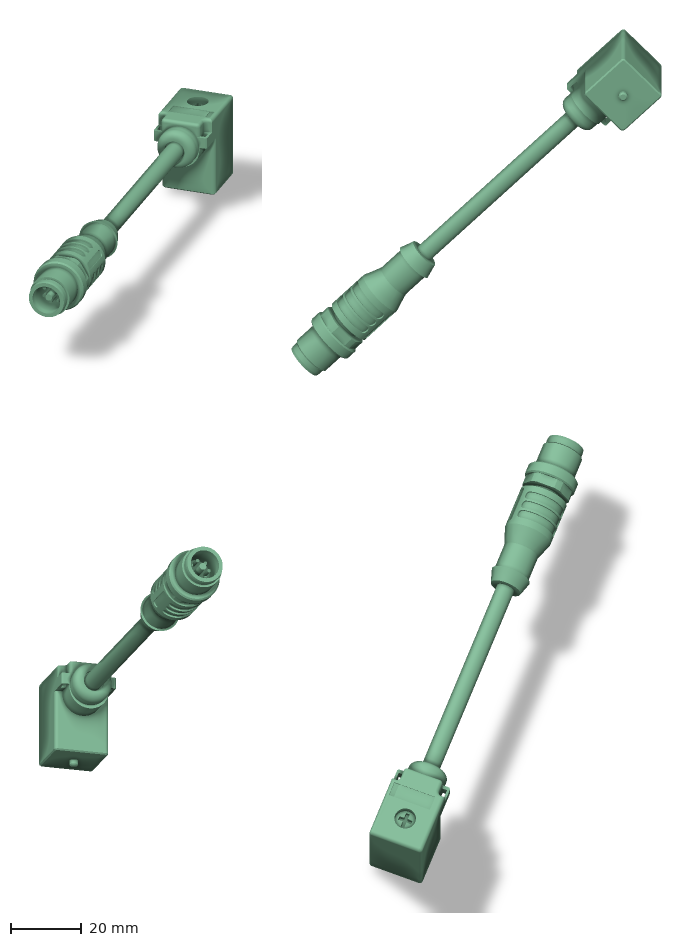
import cadquery as cq
import math


OVERLAP = 1.0

TOTAL_LENGTH = 133.0
HOUSING_DEPTH = 15.8
HOOD_DEPTH = 22.6
RELIEF_END = 27.2
TAIL_START = 86.0
FLARE_END = 90.0
NECK_END = 98.0
GRIP_START = 103.2
GRIP_END = 115.6
HEX_START = 117.0
RING_START = 119.8
RING_END = 123.3
BARREL_END = 130.2
GROOVE_END = 130.6
LIP_END = 132.2

WIDTH = 16.0
HALF_WIDTH = WIDTH / 2
HOOD_TOP = 7.1
BLOCK_BOTTOM = -17.5
BACK_FILLET = 0.9
FRONT_FILLET = 1.1
BOTTOM_CHAMFER = 0.4
TOP_FILLET = 0.95
HOOD_FRONT_CHAMFER = 0.4

NOTCH_START = 18.2
NOTCH_FLOOR = 3.2
NOTCH_INNER_X = 5.8
NOTCH_CORNER = 1.1
OUTLET_FILLET = 1.0
WINDOW_START = 19.1
WINDOW_END = 21.6
WINDOW_OUTER_X = 7.3

RELIEF_DIAMETER = 11.5
COLLAR_DROP = 0.9
RELIEF_FILLET = 2.1
RELIEF_BORE = 6.0
RELIEF_BORE_DEPTH = 1.0
CABLE_DIAMETER = 5.2

SCREW_Y = -7.85
SCREW_WELL_DIAMETER = 6.1
SCREW_WELL_DEPTH = 2.0
DOME_DIAMETER = 5.94
DOME_RISE = 0.9
CROSS_WIDTH = 1.1
CROSS_LENGTH_X = 3.9
CROSS_LENGTH_Y = 4.4
CROSS_DEPTH_BELOW_RIM = 0.8
SCREW_TIP_DIAMETER = 2.5
SCREW_TIP_END = -19.15
SCREW_TIP_CHAMFER = 0.4

LABEL_LEFT = -5.5
LABEL_RIGHT = 5.4
LABEL_END = 6.85
LABEL_START_Y = -12.85
LABEL_END_Y = -17.0
LABEL_DEPTH = 0.2
LABEL_END_DEPTH = 0.4

TAIL_DIAMETER = 9.0
FLARE_DIAMETER = 11.5
NECK_DIAMETER = 10.2
GRIP_DIAMETER = 13.8
WAIST_DIAMETER = 8.7
HEX_ACROSS_FLATS = 13.0
HEX_DIAMETER = 14.0
RING_DIAMETER = 15.0
RING_CHAMFER = 0.4
BARREL_DIAMETER = 11.8
GROOVE_DIAMETER = 10.2
LIP_DIAMETER = 10.8
TIP_DIAMETER = 10.5

SLOT_COUNT = 3
SLOT_WIDTH = 2.4
SLOT_PITCH = 3.0
SLOT_MIDDLE = 109.5
SLOT_DEPTH = 0.5
SLOT_FROM_ANGLE = 51.5
SLOT_TO_ANGLE = 186.6
PANEL_ANGLE = 29.0
PANEL_WIDTH = 2.1
PANEL_START = 104.4
PANEL_END = 114.8
PANEL_CORNER = 0.8
PANEL_DEPTH = 0.4

SOCKET_DIAMETER = 8.3
SOCKET_DEPTH = 9.0
CENTRE_PIN_DIAMETER = 2.0
CENTRE_PIN_SETBACK = 1.9
OUTER_PIN_DIAMETER = 1.0
OUTER_PIN_CIRCLE = 5.5
OUTER_PIN_COUNT = 7
OUTER_PIN_SETBACK = 5.0


def rod(diameter, start, end):
    """Cylinder on the cable axis between two distances from the housing back."""
    return cq.Workplane("XZ", origin=(0, -start, 0)).circle(diameter / 2).extrude(end - start)


def block(x0, x1, y0, y1, z0, z1):
    """Axis-aligned box between two corners."""
    corner = cq.Vector(min(x0, x1), min(y0, y1), min(z0, z1))
    return cq.Workplane(cq.Solid.makeBox(abs(x1 - x0), abs(y1 - y0), abs(z1 - z0), corner))


def make_lower_block():
    body = block(-HALF_WIDTH, HALF_WIDTH, -HOUSING_DEPTH, 0, BLOCK_BOTTOM, 0)
    body = body.edges("|Z and >Y").fillet(BACK_FILLET)
    body = body.edges("|Z and <Y").fillet(FRONT_FILLET)
    return body.faces("<Z").edges().chamfer(BOTTOM_CHAMFER)


def make_hood_notch(side):
    """Corner cut beside the cable outlet, open upward and to the front."""
    outer = side * (HALF_WIDTH + OVERLAP)
    inner = side * NOTCH_INNER_X
    shelf = block(outer, inner, -NOTCH_START, -HOOD_DEPTH - OVERLAP, NOTCH_FLOOR, HOOD_TOP + OVERLAP)
    inner_edge = ">X" if side < 0 else "<X"
    return shelf.edges("|Z and >Y").edges(inner_edge).fillet(NOTCH_CORNER)


def make_hood():
    hood = block(-HALF_WIDTH, HALF_WIDTH, -HOOD_DEPTH, 0, 0, HOOD_TOP)
    hood = hood.edges("|Z and >Y").fillet(BACK_FILLET)
    hood = hood.edges("|Z and <Y").chamfer(HOOD_FRONT_CHAMFER)
    for side in (-1, 1):
        hood = hood.cut(make_hood_notch(side))
    outlet_corners = cq.selectors.BoxSelector(
        (-NOTCH_INNER_X - OVERLAP, -HOOD_DEPTH - OVERLAP, NOTCH_FLOOR),
        (NOTCH_INNER_X + OVERLAP, -HOOD_DEPTH + OVERLAP, HOOD_TOP),
    )
    hood = hood.edges("|Z").edges(outlet_corners).fillet(OUTLET_FILLET)
    hood = hood.faces(">Z").edges().fillet(TOP_FILLET)
    for side in (-1, 1):
        window_sides = (side * NOTCH_INNER_X, side * WINDOW_OUTER_X)
        window = block(*window_sides, -WINDOW_START, -WINDOW_END, -OVERLAP, HOOD_TOP)
        hood = hood.cut(window)
    return hood


def make_collar():
    """U-shaped collar below the hood that carries the strain relief."""
    start = HOUSING_DEPTH / 2
    half_width = NOTCH_INNER_X
    lowest = (0, -COLLAR_DROP - half_width)
    outline = cq.Workplane("XZ", origin=(0, -start, 0)).moveTo(-half_width, 0)
    outline = outline.lineTo(-half_width, -COLLAR_DROP)
    outline = outline.threePointArc(lowest, (half_width, -COLLAR_DROP))
    return outline.lineTo(half_width, 0).close().extrude(HOOD_DEPTH - start)


def make_strain_relief():
    relief = rod(RELIEF_DIAMETER, HOOD_DEPTH, RELIEF_END)
    relief = relief.faces("<Y").edges().fillet(RELIEF_FILLET)
    return relief.cut(rod(RELIEF_BORE, RELIEF_END - RELIEF_BORE_DEPTH, RELIEF_END))


def add_screw(body):
    """Domed cross-slot head in a well on top, threaded tip below the block."""
    well_floor = HOOD_TOP - SCREW_WELL_DEPTH
    well = cq.Workplane("XY", origin=(0, SCREW_Y, well_floor)).circle(SCREW_WELL_DIAMETER / 2)
    body = body.cut(well.extrude(SCREW_WELL_DEPTH))

    rim = DOME_DIAMETER / 2
    sphere_radius = (rim**2 + DOME_RISE**2) / (2 * DOME_RISE)
    sphere_centre = cq.Vector(0, SCREW_Y, well_floor + DOME_RISE - sphere_radius)
    head = cq.Workplane("XY", origin=(0, SCREW_Y, well_floor - OVERLAP)).circle(rim)
    head = head.extrude(DOME_RISE + OVERLAP)
    head = head.intersect(cq.Workplane(cq.Solid.makeSphere(sphere_radius, sphere_centre, angleDegrees1=-90)))
    body = body.union(head)

    slot_plane = cq.Workplane("XY", origin=(0, SCREW_Y, well_floor - CROSS_DEPTH_BELOW_RIM))
    for length_x, length_y in ((CROSS_LENGTH_X, CROSS_WIDTH), (CROSS_WIDTH, CROSS_LENGTH_Y)):
        body = body.cut(slot_plane.rect(length_x, length_y).extrude(SCREW_WELL_DEPTH))

    tip = cq.Workplane("XY", origin=(0, SCREW_Y, SCREW_TIP_END)).circle(SCREW_TIP_DIAMETER / 2)
    tip = tip.extrude(BLOCK_BOTTOM + OVERLAP - SCREW_TIP_END)
    return body.union(tip.faces("<Z").edges().chamfer(SCREW_TIP_CHAMFER))


def cut_label(body):
    field = (LABEL_START_Y, LABEL_END_Y)
    plate = block(LABEL_LEFT, LABEL_RIGHT, *field, HOOD_TOP - LABEL_DEPTH, HOOD_TOP)
    end = block(LABEL_RIGHT, LABEL_END, *field, HOOD_TOP - LABEL_END_DEPTH, HOOD_TOP)
    return body.cut(plate).cut(end)


def make_plug_body():
    """Turned body of the plug: tail, neck, grip, waist, ring, barrel and lip."""
    steps = [
        (TAIL_DIAMETER, TAIL_START),
        (FLARE_DIAMETER, FLARE_END),
        (NECK_DIAMETER, FLARE_END),
        (NECK_DIAMETER, NECK_END),
        (GRIP_DIAMETER, GRIP_START),
        (GRIP_DIAMETER, GRIP_END),
        (WAIST_DIAMETER, GRIP_END),
        (WAIST_DIAMETER, RING_START),
        (RING_DIAMETER - 2 * RING_CHAMFER, RING_START),
        (RING_DIAMETER, RING_START + RING_CHAMFER),
        (RING_DIAMETER, RING_END - RING_CHAMFER),
        (RING_DIAMETER - 2 * RING_CHAMFER, RING_END),
        (BARREL_DIAMETER, RING_END),
        (BARREL_DIAMETER, BARREL_END),
        (GROOVE_DIAMETER, BARREL_END),
        (GROOVE_DIAMETER, GROOVE_END),
        (LIP_DIAMETER, GROOVE_END),
        (LIP_DIAMETER, LIP_END),
        (TIP_DIAMETER, TOTAL_LENGTH),
    ]
    outline = [(0, -TAIL_START)]
    outline += [(diameter / 2, -distance) for diameter, distance in steps]
    outline += [(0, -TOTAL_LENGTH)]
    return cq.Workplane("XY").polyline(outline).close().revolve(360, (0, 0, 0), (0, 1, 0))


def make_hex():
    across_corners = HEX_ACROSS_FLATS / math.cos(math.pi / 6)
    plane = cq.Workplane("XZ", origin=(0, -HEX_START, 0))
    prism = plane.polygon(6, across_corners).extrude(RING_START - HEX_START)
    return prism.intersect(rod(HEX_DIAMETER, HEX_START, RING_START))


def turn(shape, angle):
    """Turn a shape about the cable axis, from +X toward +Z."""
    return shape.rotate((0, 0, 0), (0, 1, 0), -angle)


def make_grip_slot(distance):
    """Finger groove around part of the grip, with round ends."""
    floor = GRIP_DIAMETER / 2 - SLOT_DEPTH
    outside = GRIP_DIAMETER / 2 + OVERLAP
    end_angle = math.degrees(SLOT_WIDTH / GRIP_DIAMETER)
    first = SLOT_FROM_ANGLE + end_angle
    last = SLOT_TO_ANGLE - end_angle
    inside = floor - OVERLAP
    middle = (inside + outside) / 2
    strip = cq.Workplane("XY").center(middle, -distance).rect(outside - inside, SLOT_WIDTH)
    strip = strip.revolve(last - first, (-middle, 0, 0), (-middle, -1, 0))
    groove = turn(strip, first)
    for angle in (first, last):
        end = cq.Workplane("YZ").center(-distance, 0).circle(SLOT_WIDTH / 2).extrude(outside)
        groove = groove.union(turn(end, angle))
    return groove.cut(rod(2 * floor, distance - SLOT_WIDTH, distance + SLOT_WIDTH))


def make_grip_panel():
    """Rounded rectangular recess along the grip."""
    floor = GRIP_DIAMETER / 2 - PANEL_DEPTH
    length = PANEL_END - PANEL_START
    plane = cq.Workplane("YZ", origin=(floor, -(PANEL_START + PANEL_END) / 2, 0))
    panel = plane.rect(length, PANEL_WIDTH).extrude(PANEL_DEPTH + OVERLAP)
    return turn(panel.edges("|X").fillet(PANEL_CORNER), PANEL_ANGLE)


def cut_grip(plug):
    recesses = [make_grip_panel()]
    for index in range(SLOT_COUNT):
        offset = (index - (SLOT_COUNT - 1) / 2) * SLOT_PITCH
        recesses.append(make_grip_slot(SLOT_MIDDLE + offset))
    for recess in recesses:
        plug = plug.cut(recess).cut(turn(recess, 180))
    return plug


def cut_socket(plug):
    """Open the plug face and stand the contact pins inside it."""
    floor = TOTAL_LENGTH - SOCKET_DEPTH
    plug = plug.cut(rod(SOCKET_DIAMETER, floor, TOTAL_LENGTH))
    plug = plug.union(rod(CENTRE_PIN_DIAMETER, floor - OVERLAP, TOTAL_LENGTH - CENTRE_PIN_SETBACK))
    outer_pin = rod(OUTER_PIN_DIAMETER, floor - OVERLAP, TOTAL_LENGTH - OUTER_PIN_SETBACK)
    outer_pin = outer_pin.translate((OUTER_PIN_CIRCLE / 2, 0, 0))
    for index in range(OUTER_PIN_COUNT):
        plug = plug.union(turn(outer_pin, index * 360 / OUTER_PIN_COUNT))
    return plug


housing = make_lower_block().union(make_hood()).union(make_collar()).union(make_strain_relief())
housing = cut_label(add_screw(housing))

plug = cut_socket(cut_grip(make_plug_body().union(make_hex())))

cable = rod(CABLE_DIAMETER, RELIEF_END - RELIEF_BORE_DEPTH, TAIL_START + OVERLAP)
result = housing.union(cable).union(plug)